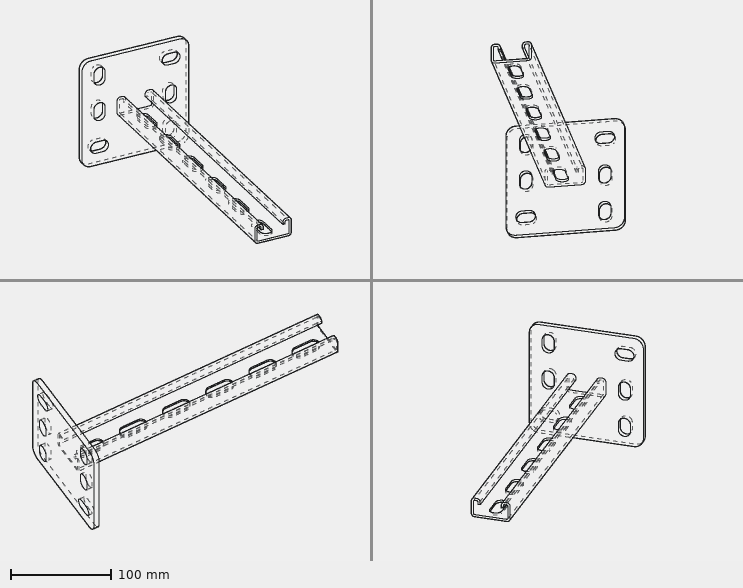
import cadquery as cq

TOTAL_LENGTH = 306.0
PLATE_SIZE = 120.0
PLATE_THICKNESS = 6.0
PLATE_CORNER_RADIUS = 10.0

PLATE_SLOT_LENGTH = 20.0
PLATE_SLOT_WIDTH = 12.5
PLATE_SLOT_PITCH_Z = 40.0
PLATE_SLOT_PITCH_Y = 2 * PLATE_SLOT_PITCH_Z

CHANNEL_WIDTH = 41.0
CHANNEL_HEIGHT = 20.8
WALL = 2.5
BEND_RADIUS = 3.7
INNER_BEND_RADIUS = BEND_RADIUS - WALL
MOUTH_WIDTH = 22.0
LIP_DEPTH = 6.5

CHANNEL_CENTER_Z = 0.45

WEB_SLOT_COUNT = 6
WEB_SLOT_LENGTH = 30.0
WEB_SLOT_WIDTH = 12.5

CHANNEL_LENGTH = TOTAL_LENGTH - PLATE_THICKNESS
WEB_SLOT_PITCH = CHANNEL_LENGTH / WEB_SLOT_COUNT


def make_plate():
    """Square end plate with rounded corners; its outer face lies on X = 0."""
    plate = (
        cq.Workplane("YZ")
        .rect(PLATE_SIZE, PLATE_SIZE)
        .extrude(PLATE_THICKNESS)
        .edges("|X")
        .fillet(PLATE_CORNER_RADIUS)
    )
    for side in (-1, 1):
        for row in (-1, 0, 1):
            lies_along_y = row == side
            angle = 0 if lies_along_y else 90
            slot = (
                cq.Workplane("YZ")
                .center(side * PLATE_SLOT_PITCH_Y / 2, row * PLATE_SLOT_PITCH_Z)
                .slot2D(PLATE_SLOT_LENGTH, PLATE_SLOT_WIDTH, angle)
                .extrude(PLATE_THICKNESS)
            )
            plate = plate.cut(slot)
    return plate


def channel_bar(width, height, radius):
    """Solid bar with rounded long edges, running from the plate to the far end."""
    return (
        cq.Workplane("YZ", origin=(PLATE_THICKNESS, 0, 0))
        .rect(width, height)
        .extrude(CHANNEL_LENGTH)
        .edges("|X")
        .fillet(radius)
    )


def top_block(width):
    """Block over the middle of the channel, from the level of the lip ends up to the top."""
    lip_end_z = CHANNEL_HEIGHT / 2 - LIP_DEPTH
    return (
        cq.Workplane("XY", origin=(PLATE_THICKNESS + CHANNEL_LENGTH / 2, 0, lip_end_z))
        .rect(CHANNEL_LENGTH, width)
        .extrude(LIP_DEPTH)
    )


def make_lip(side):
    """Lip that curls inward and down from one leg; side is +1 or -1 along Y."""
    curl_width = (CHANNEL_WIDTH - MOUTH_WIDTH) / 2
    curl_center_y = side * (CHANNEL_WIDTH + MOUTH_WIDTH) / 4
    outer = channel_bar(curl_width, CHANNEL_HEIGHT, BEND_RADIUS)
    inner = channel_bar(curl_width - 2 * WALL, CHANNEL_HEIGHT - 2 * WALL, INNER_BEND_RADIUS)
    curl = outer.cut(inner).translate((0, curl_center_y, 0))
    return curl.intersect(top_block(CHANNEL_WIDTH))


def make_channel():
    """Slotted strut channel, centred on Z = 0, open at the top between a pair of curled lips."""
    outer = channel_bar(CHANNEL_WIDTH, CHANNEL_HEIGHT, BEND_RADIUS)
    inner = channel_bar(CHANNEL_WIDTH - 2 * WALL, CHANNEL_HEIGHT - 2 * WALL, INNER_BEND_RADIUS)
    opening = top_block(MOUTH_WIDTH + 2 * BEND_RADIUS)
    channel = outer.cut(inner).cut(opening)
    for side in (-1, 1):
        channel = channel.union(make_lip(side))

    web_slots = (
        cq.Workplane("XY", origin=(PLATE_THICKNESS + CHANNEL_LENGTH / 2, 0, -CHANNEL_HEIGHT / 2))
        .rarray(WEB_SLOT_PITCH, 3, WEB_SLOT_COUNT, 1)
        .slot2D(WEB_SLOT_LENGTH, WEB_SLOT_WIDTH)
        .extrude(WALL)
    )
    return channel.cut(web_slots)


plate = make_plate()
channel = make_channel().translate((0, 0, CHANNEL_CENTER_Z))

result = cq.Compound.makeCompound([plate.val(), channel.val()])